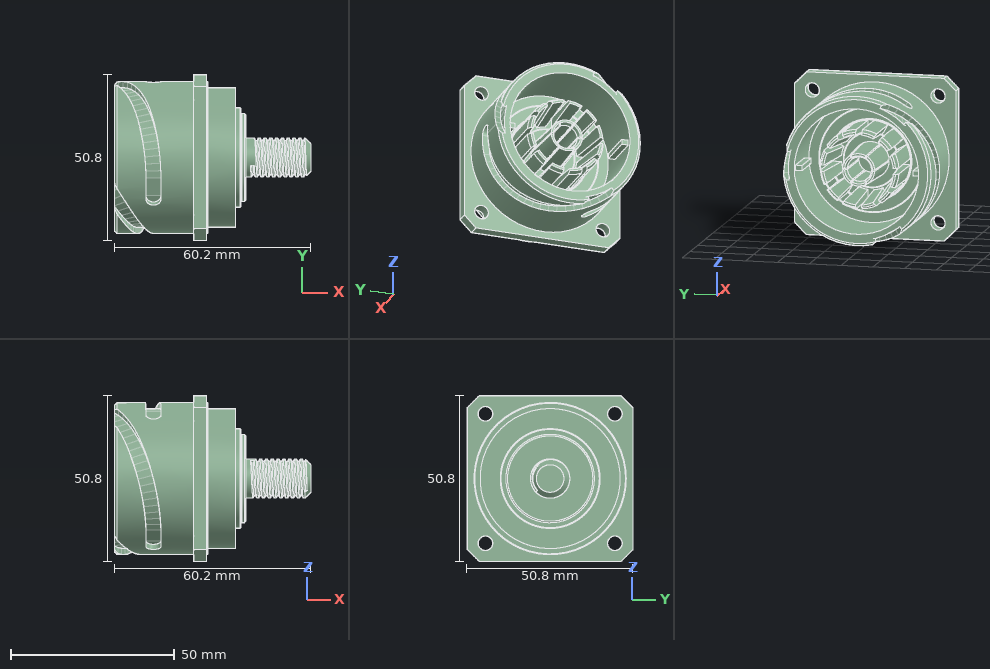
import cadquery as cq
import math

overall_length = 60.2

flange_side = 50.8
flange_front = 24.25
flange_thickness = 4.0
flange_back = flange_front + flange_thickness
flange_corner_chamfer = 3.75
mount_hole_diameter = 4.4
mount_hole_pitch = 39.6

shell_radius = 23.3
rim_chamfer = 0.85
bore_radius = 19.55
floor_x = 18.9

shoulder_end = flange_back + 0.5
shoulder_chamfer = 0.25
body_radius = 21.45
body_end = 37.15
washer_radius = 15.3
washer_end = 38.75
washer_chamfer = 0.25
neck_radius = 13.25
collar_start = 39.05
collar_radius = 13.55
collar_chamfer = 0.5
collar_end = 40.3

stem_radius = 6.0
stem_chamfer = 1.8
thread_pitch = 1.775
thread_depth = 0.7
thread_mouth_width = 1.2
thread_root_width = 0.5
thread_start_x = 42.25
thread_start_angle = 115.0
thread_turns = 9.3

groove_count = 3
groove_width = 4.6
groove_depth = 1.85
groove_end_x = 12.0
groove_end_angle = 243.0
groove_vertex_angle = 227.0
groove_curvature = 0.0011
groove_entry_angle = 95.0
groove_strips = 22

key_front = 1.45
key_back = 13.1
key_inner_radius = 17.45
key_width = 1.6

contact_front = 2.75
socket_bore_radius = 3.8
socket_mouth_radius = 4.4
socket_mouth_depth = 1.2
socket_tip_radius = 5.05
socket_base_radius = 5.7
socket_slot_count = 6
socket_slot_width = 0.4
finger_tip_inner_radius = 10.95
finger_base_inner_radius = 9.35
finger_tip_outer_radius = 11.7
finger_outer_radius = 12.4
finger_taper_length = 1.45
finger_slot_count = 12
finger_slot_width = 1.9

joint_rings = [(8.55, 8.7), (12.5, 12.8), (16.25, 16.45)]
joint_depth = 0.3

overlap = 0.6


def revolve_about_x(points):
    """Solid of revolution about the X axis from (x, radius) points."""
    return cq.Workplane("XY").polyline(points).close().revolve(360, (0, 0, 0), (1, 0, 0))


def tube(x_start, x_end, inner_radius, outer_radius):
    return (
        cq.Workplane("YZ", origin=(x_start, 0, 0))
        .circle(outer_radius)
        .circle(inner_radius)
        .extrude(x_end - x_start)
    )


def radial(angle):
    """Unit vector pointing out from the axis; 0 is +Y and 90 is +Z."""
    turn = math.radians(angle)
    return cq.Vector(0, math.cos(turn), math.sin(turn))


def make_body():
    return revolve_about_x([
        (0, 0),
        (0, shell_radius - rim_chamfer),
        (rim_chamfer, shell_radius),
        (shoulder_end - shoulder_chamfer, shell_radius),
        (shoulder_end, shell_radius - shoulder_chamfer),
        (shoulder_end, body_radius),
        (body_end, body_radius),
        (body_end, washer_radius),
        (washer_end - washer_chamfer, washer_radius),
        (washer_end, washer_radius - washer_chamfer),
        (washer_end, neck_radius),
        (collar_start, neck_radius),
        (collar_start, collar_radius),
        (collar_end - collar_chamfer, collar_radius),
        (collar_end, collar_radius - collar_chamfer),
        (collar_end, 0),
    ])


def make_stem():
    stem = (
        cq.Workplane("YZ", origin=(collar_start, 0, 0))
        .circle(stem_radius)
        .extrude(overall_length - collar_start)
        .faces(">X")
        .chamfer(stem_chamfer)
    )
    threaded = stem.cut(make_thread_groove())
    return threaded.rotate((0, 0, 0), (1, 0, 0), thread_start_angle)


def make_flange():
    return (
        cq.Workplane("YZ", origin=(flange_front, 0, 0))
        .rect(flange_side, flange_side)
        .extrude(flange_thickness)
        .edges("|X")
        .chamfer(flange_corner_chamfer)
    )


def make_mount_holes():
    return (
        cq.Workplane("YZ", origin=(flange_front - overlap, 0, 0))
        .rect(mount_hole_pitch, mount_hole_pitch, forConstruction=True)
        .vertices()
        .circle(mount_hole_diameter / 2)
        .extrude(flange_thickness + 2 * overlap)
    )


def make_thread_groove():
    """Right-handed trapezoidal groove, swept along Z and then turned onto the X axis."""
    helix = cq.Wire.makeHelix(thread_pitch, thread_pitch * thread_turns, stem_radius)
    slope = (thread_mouth_width - thread_root_width) / 2 / thread_depth
    outside = 0.2
    outer_half = thread_mouth_width / 2 + slope * outside
    root_half = thread_root_width / 2
    groove = (
        cq.Workplane("XZ")
        .polyline([
            (stem_radius - thread_depth, -root_half),
            (stem_radius + outside, -outer_half),
            (stem_radius + outside, outer_half),
            (stem_radius - thread_depth, root_half),
        ])
        .close()
        .sweep(cq.Workplane(helix), isFrenet=True)
    )
    return groove.rotate((0, 0, 0), (1, 1, 1), 120).translate((thread_start_x, 0, 0))


def groove_x(angle):
    """Axial place of the groove centre: a parabola that levels off at its vertex."""
    return groove_end_x - groove_curvature * max(groove_vertex_angle - angle, 0) ** 2


def groove_section(angle):
    """Rectangle across the groove, square to its path."""
    climb = 2 * groove_curvature * max(groove_vertex_angle - angle, 0)
    tilt = math.atan2(climb, math.radians(1) * shell_radius)
    outward = radial(angle)
    across = cq.Vector(math.cos(tilt), 0, 0) - radial(angle + 90) * math.sin(tilt)
    centre = cq.Vector(groove_x(angle), 0, 0)
    low = centre + outward * (shell_radius - groove_depth)
    high = centre + outward * (shell_radius + groove_depth)
    half = across * (groove_width / 2)
    return cq.Wire.makePolygon([low - half, low + half, high + half, high - half], close=True)


def make_bayonet_groove():
    step = (groove_vertex_angle - groove_entry_angle) / groove_strips
    angles = [groove_entry_angle + i * step for i in range(groove_strips + 1)]
    angles.append(groove_end_angle)
    channel = cq.Solid.makeLoft([groove_section(angle) for angle in angles], True)
    outward = radial(groove_end_angle)
    round_end = cq.Solid.makeCylinder(
        groove_width / 2,
        2 * groove_depth,
        cq.Vector(groove_end_x, 0, 0) + outward * (shell_radius - groove_depth),
        outward,
    )
    return cq.Workplane(channel).union(cq.Workplane(round_end))


def make_slots(count, width, radius):
    """Slots through the contact walls, evenly spaced and running along the axis."""
    slots = cq.Workplane()
    length = floor_x - contact_front + overlap
    for i in range(count):
        slot = cq.Workplane("XY").box(length, radius, width, centered=(False, False, True))
        slot = slot.translate((contact_front - overlap, 0, 0))
        slots = slots.union(slot.rotate((0, 0, 0), (1, 0, 0), i * 360 / count))
    return slots


def make_socket():
    socket = revolve_about_x([
        (contact_front, socket_mouth_radius),
        (contact_front, socket_tip_radius),
        (floor_x, socket_base_radius),
        (floor_x + overlap, socket_base_radius),
        (floor_x + overlap, socket_bore_radius),
        (contact_front + socket_mouth_depth, socket_bore_radius),
    ])
    return socket.cut(make_slots(socket_slot_count, socket_slot_width, 2 * socket_base_radius))


def make_fingers():
    fingers = revolve_about_x([
        (contact_front, finger_tip_inner_radius),
        (contact_front, finger_tip_outer_radius),
        (contact_front + finger_taper_length, finger_outer_radius),
        (floor_x + overlap, finger_outer_radius),
        (floor_x + overlap, finger_base_inner_radius),
        (floor_x, finger_base_inner_radius),
    ])
    return fingers.cut(make_slots(finger_slot_count, finger_slot_width, 2 * finger_outer_radius))


def make_keys():
    key_height = bore_radius - key_inner_radius + overlap
    key = (
        cq.Workplane("XY")
        .box(key_back - key_front, key_height, key_width, centered=(False, False, True))
        .translate((key_front, key_inner_radius, 0))
    )
    return key.union(key.mirror("XZ"))


result = make_body().union(make_flange()).cut(make_mount_holes())
result = result.cut(cq.Workplane("YZ").circle(bore_radius).extrude(floor_x))
for inner_radius, outer_radius in joint_rings:
    result = result.cut(tube(floor_x, floor_x + joint_depth, inner_radius, outer_radius))
result = result.union(make_keys()).union(make_socket()).union(make_fingers())

bayonet_groove = make_bayonet_groove()
for i in range(groove_count):
    result = result.cut(bayonet_groove.rotate((0, 0, 0), (1, 0, 0), i * 360 / groove_count))

result = result.union(make_stem())